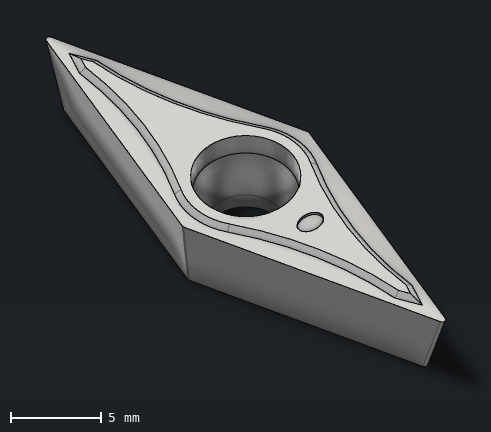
import cadquery as cq
import math

overall_length = 29.35
overall_width = 9.55
overall_height = 4.95

nose_angle = 35.0
clearance_angle = 5.0
nose_radius = 0.2
pad_height = 0.25
body_height = overall_height - pad_height

pad_tip_reach = 13.65
pad_shoulder_reach = 12.18
pad_shoulder_half_width = 0.67
pad_waist_radius = 4.1
pad_waist_half_angle = 30.0
pad_slope_inset = 0.38
pad_slope_angle = math.degrees(math.atan2(pad_slope_inset, pad_height))

hole_diameter = 4.5
seat_rim_diameter = 6.1
seat_neck_diameter = 5.93
seat_neck_depth = 1.32
seat_depth = 3.95

mark_x = 4.75
mark_y = -1.5
mark_length = 1.7
mark_width = 1.17
mark_angle = 72.5
mark_depth = 0.18


def make_body():
    """Rhombic body with relieved flanks and rounded corners."""
    half_width = overall_width / 2
    nose_half_angle = math.radians(nose_angle / 2)
    edge_lean = math.atan(math.tan(math.radians(clearance_angle)) / math.sin(nose_half_angle))
    square_half_angle = math.atan(math.tan(nose_half_angle) / math.cos(edge_lean))
    ellipse_long_radius = nose_radius / math.cos(edge_lean)
    ellipse_setback = ellipse_long_radius / math.sin(square_half_angle)
    ellipse_reach_x = math.hypot(
        ellipse_long_radius * math.cos(nose_half_angle),
        nose_radius * math.sin(nose_half_angle),
    )
    tip_loss = ellipse_setback * math.cos(nose_half_angle) - ellipse_reach_x
    sharp_x = overall_length / 2 + tip_loss
    side_length = overall_width / math.sin(math.radians(nose_angle))
    obtuse_x = side_length - sharp_x
    corners = [
        (-sharp_x, half_width),
        (-obtuse_x, -half_width),
        (sharp_x, -half_width),
        (obtuse_x, half_width),
    ]
    body = (
        cq.Workplane("XY", origin=(0, 0, body_height))
        .polyline(corners)
        .close()
        .extrude(-body_height, taper=clearance_angle)
    )
    return body.edges("not #Z").fillet(nose_radius)


def make_pad():
    """Raised pad with a round waist, concave flanks and pointed ends."""
    waist = math.radians(pad_waist_half_angle)
    waist_x = pad_waist_radius * math.sin(waist)
    waist_y = pad_waist_radius * math.cos(waist)
    flank_x, flank_y = flank_midpoint(waist_x, waist_y)
    outline = cq.Workplane("XY", origin=(0, 0, body_height)).moveTo(-waist_x, waist_y)
    for turn in (1, -1):
        outline = (
            outline.threePointArc((0, turn * pad_waist_radius), (turn * waist_x, turn * waist_y))
            .threePointArc(
                (turn * flank_x, turn * flank_y),
                (turn * pad_shoulder_reach, turn * pad_shoulder_half_width),
            )
            .lineTo(turn * pad_tip_reach, 0)
            .lineTo(turn * pad_shoulder_reach, -turn * pad_shoulder_half_width)
            .threePointArc((turn * flank_x, -turn * flank_y), (turn * waist_x, -turn * waist_y))
        )
    pad = outline.close().extrude(pad_height, taper=pad_slope_angle)
    return pad.rotate((0, 0, 0), (0, 0, 1), -nose_angle / 2)


def flank_midpoint(waist_x, waist_y):
    """Middle of the flank arc that leaves the waist tangentially and ends at the shoulder."""
    run = pad_shoulder_reach - waist_x
    drop = waist_y - pad_shoulder_half_width
    chord = math.hypot(run, drop)
    chord_angle = math.atan2(drop, run)
    sag = chord / 2 * math.tan((math.radians(pad_waist_half_angle) - chord_angle) / 2)
    middle_x = (waist_x + pad_shoulder_reach) / 2
    middle_y = (waist_y + pad_shoulder_half_width) / 2
    return (
        middle_x - sag * math.sin(chord_angle),
        middle_y - sag * math.cos(chord_angle),
    )


def make_screw_hole():
    """Through hole with a slightly conical neck above a bowl-shaped screw seat."""
    hole_radius = hole_diameter / 2
    neck_radius = seat_neck_diameter / 2
    neck_z = overall_height - seat_neck_depth
    seat_z = overall_height - seat_depth
    return (
        cq.Workplane("XZ")
        .lineTo(hole_radius, 0)
        .lineTo(hole_radius, seat_z)
        .tangentArcPoint((neck_radius, neck_z), relative=False)
        .lineTo(seat_rim_diameter / 2, overall_height)
        .lineTo(0, overall_height)
        .close()
        .revolve(360, (0, 0, 0), (0, 1, 0))
    )


def make_mark():
    """Shallow oval recess beside the screw hole."""
    return (
        cq.Workplane("XY", origin=(mark_x, mark_y, overall_height - mark_depth))
        .transformed(rotate=(0, 0, mark_angle))
        .ellipse(mark_length / 2, mark_width / 2)
        .extrude(mark_depth)
    )


result = make_body().union(make_pad()).cut(make_screw_hole()).cut(make_mark())